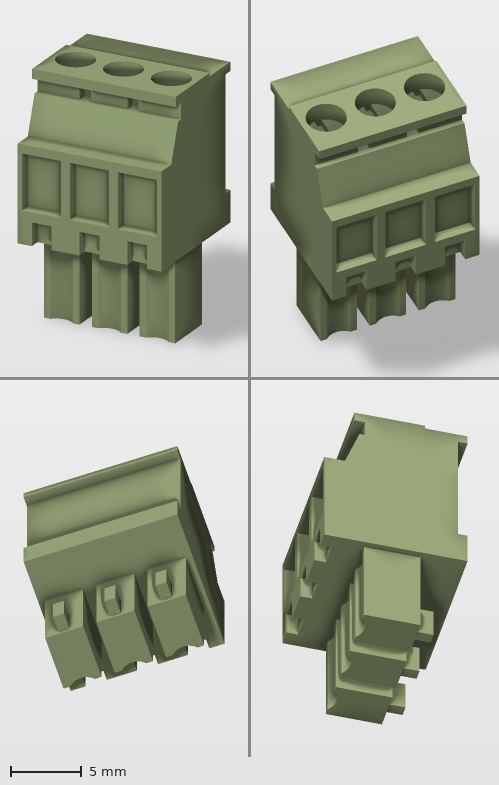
import cadquery as cq


POLES = 3
WIDTH = 11.42
DEPTH = 10.45
HEIGHT = 19.1
PITCH = WIDTH / POLES

BASE_Z = 6.63
SHOULDER_Z = 14.21
SHOULDER_DEPTH = 1.5
LEDGE_Z = 17.11
LEDGE_Y = 2.55
NECK_Y = 2.96
LIP_Y = 2.2
LIP_THICKNESS = 0.76
TOP_STEP_Y = 7.33
TOP_STEP_DROP = 0.27
REAR_FLANGE_THICKNESS = 0.7
REAR_GROOVE_DEPTH = 0.7
REAR_FOOT_Z = 9.11

NECK_SLOT_WIDTH = 0.9
NECK_SLOT_DEPTH = NECK_Y - LIP_Y

RECESS_DEPTH = 0.84
POCKET_WIDTH = 3.11
POCKET_BOTTOM_Z = 9.19
POCKET_TOP_Z = 13.52
NOTCH_WIDTH = 1.57
NOTCH_TOP_Z = 8.42

LEG_WIDTH = 2.83
LEG_FRONT_Y = 3.04
LEG_BACK_Y = 7.12
LEG_GROOVE_WIDTH = 1.83
LEG_GROOVE_DEPTH = 0.38
TAB_WIDTH = 0.8
TAB_LENGTH = 1.25
TAB_BOTTOM_Z = 0.29
TAB_TOP_Z = 2.55

SCREW_DIAMETER = 2.9
SCREW_Y = 5.15
SCREW_SINK = 1.49
SCREW_LENGTH = 1.49
SCREW_SLOT_WIDTH = 0.55
SCREW_SLOT_DEPTH = 0.57
SCREW_FACE_Z = HEIGHT - SCREW_SINK
SCREW_SEAT_Z = SCREW_FACE_Z - SCREW_LENGTH

POLE_XS = [(i - (POLES - 1) / 2) * PITCH for i in range(POLES)]


def block(x_centre, width, y_range, z_range):
    """Box centred on x_centre that spans the given Y and Z ranges."""
    y_start, y_end = y_range
    z_start, z_end = z_range
    return (
        cq.Workplane("XY")
        .box(width, y_end - y_start, z_end - z_start, centered=(True, False, False))
        .translate((x_centre, y_start, z_start))
    )


def housing_shell():
    """Side profile of the housing, extruded over the full width."""
    rear_flange_top = HEIGHT - TOP_STEP_DROP
    rear_flange_bottom = rear_flange_top - REAR_FLANGE_THICKNESS
    groove_y = DEPTH - REAR_GROOVE_DEPTH
    lip_bottom = HEIGHT - LIP_THICKNESS
    profile = [
        (0, BASE_Z),
        (0, SHOULDER_Z),
        (SHOULDER_DEPTH, SHOULDER_Z),
        (LEDGE_Y, LEDGE_Z),
        (NECK_Y, LEDGE_Z),
        (NECK_Y, lip_bottom),
        (LIP_Y, lip_bottom),
        (LIP_Y, HEIGHT),
        (TOP_STEP_Y, HEIGHT),
        (TOP_STEP_Y, rear_flange_top),
        (DEPTH, rear_flange_top),
        (DEPTH, rear_flange_bottom),
        (groove_y, rear_flange_bottom),
        (groove_y, REAR_FOOT_Z),
        (DEPTH, REAR_FOOT_Z),
        (DEPTH, BASE_Z),
    ]
    return cq.Workplane("YZ").polyline(profile).close().extrude(WIDTH / 2, both=True)


def neck_slot(x_centre):
    """Cutter for the slot in the neck, from the ledge up to the lip."""
    y_range = (NECK_Y, NECK_Y + NECK_SLOT_DEPTH)
    return block(x_centre, NECK_SLOT_WIDTH, y_range, (LEDGE_Z, HEIGHT - LIP_THICKNESS))


def entry_recesses(x_centre):
    """Cutter for one wire entry pocket and the notch below it."""
    pocket = block(x_centre, POCKET_WIDTH, (0, RECESS_DEPTH), (POCKET_BOTTOM_Z, POCKET_TOP_Z))
    notch = block(x_centre, NOTCH_WIDTH, (0, RECESS_DEPTH), (BASE_Z, NOTCH_TOP_Z))
    return pocket.add(notch).combine()


def screw_cylinder(x_centre, bottom_z, top_z):
    """Cylinder of the screw diameter on the screw axis of one pole."""
    return (
        cq.Workplane("XY", origin=(x_centre, SCREW_Y, bottom_z))
        .circle(SCREW_DIAMETER / 2)
        .extrude(top_z - bottom_z)
    )


def plug_leg(x_centre):
    """Leg with a shallow round groove down its front and a tab on its back."""
    half_width = LEG_WIDTH / 2
    half_groove = LEG_GROOVE_WIDTH / 2
    leg = (
        cq.Workplane("XY", origin=(x_centre, 0, 0))
        .moveTo(-half_width, LEG_FRONT_Y)
        .lineTo(-half_groove, LEG_FRONT_Y)
        .threePointArc((0, LEG_FRONT_Y + LEG_GROOVE_DEPTH), (half_groove, LEG_FRONT_Y))
        .lineTo(half_width, LEG_FRONT_Y)
        .lineTo(half_width, LEG_BACK_Y)
        .lineTo(-half_width, LEG_BACK_Y)
        .close()
        .extrude(BASE_Z)
    )
    tab = block(x_centre, TAB_WIDTH, (LEG_BACK_Y, LEG_BACK_Y + TAB_LENGTH), (TAB_BOTTOM_Z, TAB_TOP_Z))
    return leg.union(tab)


def make_housing():
    """Housing with its legs, entry recesses, neck slots and blind screw holes."""
    housing = housing_shell()
    for x in POLE_XS:
        housing = housing.union(plug_leg(x))
        housing = housing.cut(entry_recesses(x))
        housing = housing.cut(screw_cylinder(x, SCREW_SEAT_Z, HEIGHT))
    for x in POLE_XS[:-1]:
        housing = housing.cut(neck_slot(x + PITCH / 2))
    return housing


def make_screw(x_centre):
    """Plain cylindrical screw with a driver slot along Y across its face."""
    slot = block(
        x_centre,
        SCREW_SLOT_WIDTH,
        (SCREW_Y - SCREW_DIAMETER / 2, SCREW_Y + SCREW_DIAMETER / 2),
        (SCREW_FACE_Z - SCREW_SLOT_DEPTH, SCREW_FACE_Z),
    )
    return screw_cylinder(x_centre, SCREW_SEAT_Z, SCREW_FACE_Z).cut(slot)


housing = make_housing()
screws = [make_screw(x) for x in POLE_XS]

result = cq.Compound.makeCompound([housing.val(), *[screw.val() for screw in screws]])